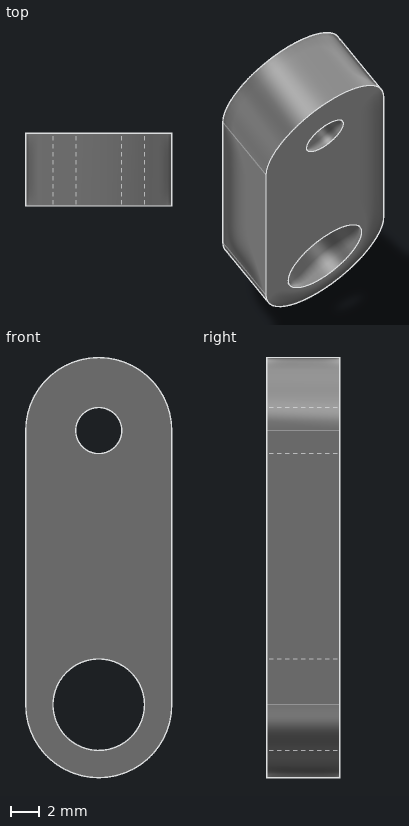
import cadquery as cq

length = 29.2
width = 10.17
thickness = 5.08
small_hole_diameter = 3.18
large_hole_diameter = 6.35

hole_height = (length - width) / 2


def cylinder_along_y(diameter, height):
    """Cylinder through the full thickness, centred at the given Z."""
    return (
        cq.Workplane("XZ")
        .center(0, height)
        .circle(diameter / 2)
        .extrude(thickness / 2, both=True)
    )


body = (
    cq.Workplane("XZ")
    .slot2D(length, width, angle=90)
    .extrude(thickness / 2, both=True)
)

small_hole = cylinder_along_y(small_hole_diameter, hole_height)
large_hole = cylinder_along_y(large_hole_diameter, -hole_height)

result = body.cut(small_hole).cut(large_hole)